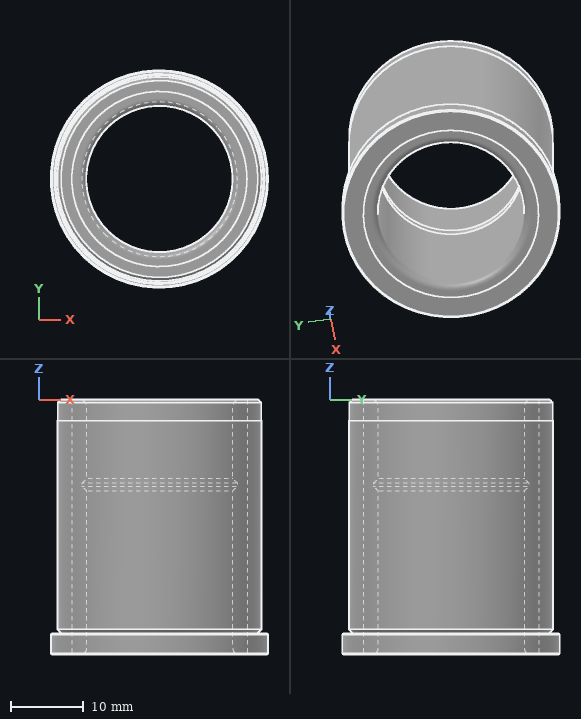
import cadquery as cq

HEIGHT = 35.0
FLANGE_DIAMETER = 29.82
SLEEVE_DIAMETER = 28.0
PILOT_DIAMETER = 27.95
BORE_DIAMETER = 20.02
LINER_DIAMETER = 24.0

FLANGE_HEIGHT = 2.95
PILOT_LENGTH = 2.95
GROOVE_TOP_DEPTH = 10.8
GROOVE_WIDTH = 1.7

TOP_CHAMFER = 0.5
FLANGE_CHAMFER = 0.18
MOUTH_RADIUS = 1.0
GROOVE_DEPTH = 0.63
RELIEF_HEIGHT = 0.52
RELIEF_NECK_DEPTH = 0.52
RELIEF_FACE_WIDTH = 0.42
RELIEF_FACE_DEPTH = 0.18

flange_radius = FLANGE_DIAMETER / 2
sleeve_radius = SLEEVE_DIAMETER / 2
pilot_radius = PILOT_DIAMETER / 2
neck_radius = sleeve_radius - RELIEF_NECK_DEPTH
liner_radius = LINER_DIAMETER / 2
bore_radius = BORE_DIAMETER / 2


def revolve_outline(outline):
    """Turn a closed (radius, height) outline around the Z axis."""
    return cq.Workplane("XZ").polyline(outline).close().revolve(360, (0, 0, 0), (0, 1, 0))


def make_housing():
    """Flanged sleeve with a pilot end, a through seat and a relief groove at the flange."""
    outline = [
        (liner_radius, 0),
        (flange_radius - FLANGE_CHAMFER, 0),
        (flange_radius, FLANGE_CHAMFER),
        (flange_radius, FLANGE_HEIGHT - FLANGE_CHAMFER),
        (flange_radius - FLANGE_CHAMFER, FLANGE_HEIGHT),
        (sleeve_radius + RELIEF_FACE_WIDTH, FLANGE_HEIGHT),
        (sleeve_radius + RELIEF_FACE_WIDTH - RELIEF_FACE_DEPTH, FLANGE_HEIGHT - RELIEF_FACE_DEPTH),
        (neck_radius, FLANGE_HEIGHT - RELIEF_FACE_DEPTH),
        (neck_radius, FLANGE_HEIGHT + RELIEF_HEIGHT - RELIEF_NECK_DEPTH),
        (sleeve_radius, FLANGE_HEIGHT + RELIEF_HEIGHT),
        (sleeve_radius, HEIGHT - PILOT_LENGTH),
        (pilot_radius, HEIGHT - PILOT_LENGTH),
        (pilot_radius, HEIGHT - TOP_CHAMFER),
        (pilot_radius - TOP_CHAMFER, HEIGHT),
        (liner_radius, HEIGHT),
    ]
    return revolve_outline(outline)


def make_bore_groove():
    """Ring that cuts the groove in the liner bore, with both flanks at 45 degrees."""
    groove_top = HEIGHT - GROOVE_TOP_DEPTH
    groove_bottom = groove_top - GROOVE_WIDTH
    groove_radius = bore_radius + GROOVE_DEPTH
    outline = [
        (bore_radius, groove_bottom),
        (groove_radius, groove_bottom + GROOVE_DEPTH),
        (groove_radius, groove_top - GROOVE_DEPTH),
        (bore_radius, groove_top),
    ]
    return revolve_outline(outline)


def make_liner():
    """Full-length bearing ring with rounded bore mouths and a groove in its bore."""
    ring = cq.Workplane("XY").circle(liner_radius).circle(bore_radius).extrude(HEIGHT)
    bore_edges = ring.edges(cq.selectors.RadiusNthSelector(0))
    return bore_edges.fillet(MOUTH_RADIUS).cut(make_bore_groove())


housing = make_housing()
liner = make_liner()

result = cq.Compound.makeCompound([housing.val(), liner.val()])